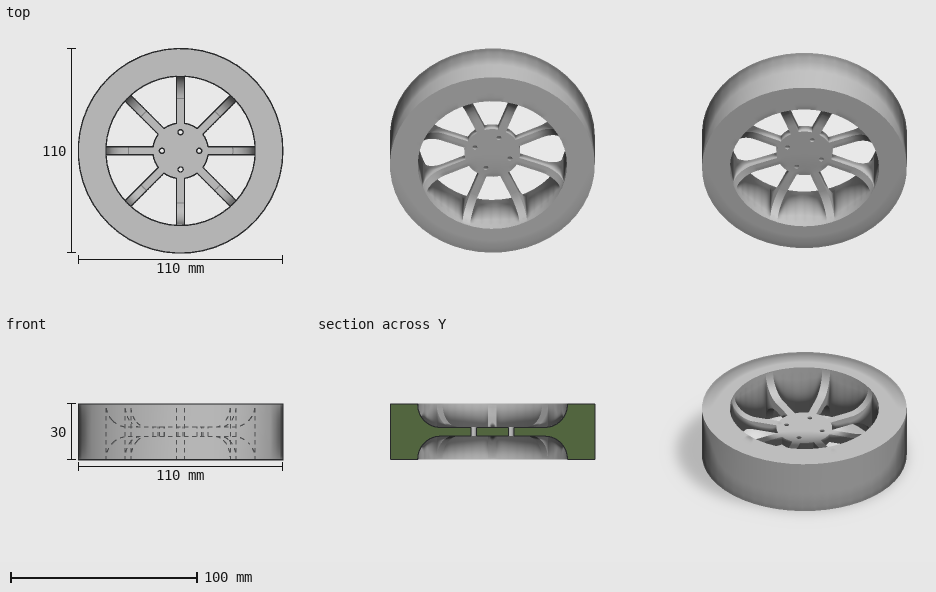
import cadquery as cq

rim_radius = 55.0
bore_radius = 40.0
rim_width = 30.0

hub_radius = 15.0
web_thickness = 5.0
spoke_width = 4.4
spoke_count = 8

flare_radius = 12.0
flare_start = bore_radius - flare_radius

hole_count = 4
hole_circle_radius = 10.0
hole_diameter = 2.6


def make_disc(radius, thickness):
    """Solid disc centred on the origin, axis along Z."""
    return cq.Workplane("XY").circle(radius).extrude(thickness).translate((0, 0, -thickness / 2))


def make_rim():
    return make_disc(rim_radius, rim_width).cut(make_disc(bore_radius, rim_width))


def make_flared_web():
    """Full round web, revolved, with concave flares on both faces at its outer edge."""
    half_web = web_thickness / 2
    overlap_radius = (bore_radius + rim_radius) / 2
    flare_centre = half_web + flare_radius
    diagonal = flare_radius * 0.5**0.5
    arc_middle_radius = flare_start + diagonal
    arc_middle_height = flare_centre - diagonal
    profile = (
        cq.Workplane("XZ")
        .moveTo(0, -half_web)
        .lineTo(flare_start, -half_web)
        .threePointArc((arc_middle_radius, -arc_middle_height), (bore_radius, -flare_centre))
        .lineTo(overlap_radius, -flare_centre)
        .lineTo(overlap_radius, flare_centre)
        .lineTo(bore_radius, flare_centre)
        .threePointArc((arc_middle_radius, arc_middle_height), (flare_start, half_web))
        .lineTo(0, half_web)
        .close()
    )
    return profile.revolve(360, (0, 0, 0), (0, 1, 0))


def make_spokes():
    """Straight bars across the wheel, trimmed to the flared web."""
    bar_length = 2 * rim_radius
    bar_count = spoke_count // 2
    bar = cq.Workplane("XY").box(bar_length, spoke_width, rim_width)
    bars = bar
    for index in range(1, bar_count):
        bars = bars.union(bar.rotate((0, 0, 0), (0, 0, 1), index * 360 / spoke_count))
    return make_flared_web().intersect(bars)


def make_mounting_holes():
    return (
        cq.Workplane("XY")
        .polarArray(hole_circle_radius, 0, 360, hole_count)
        .circle(hole_diameter / 2)
        .extrude(web_thickness, both=True)
    )


hub = make_disc(hub_radius, web_thickness)
result = make_rim().union(make_spokes()).union(hub).cut(make_mounting_holes()).clean()